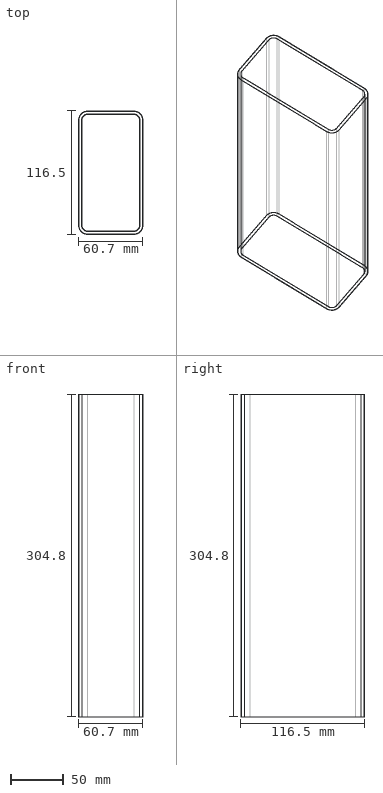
import cadquery as cq

width = 60.7
depth = 116.5
length = 304.8
wall = 3.0
outer_radius = 8.5
inner_radius = outer_radius - wall


def rounded_bar(size_x, size_y, corner_radius):
    """Full-length upright bar with rounded vertical edges."""
    return cq.Workplane("XY").rect(size_x, size_y).extrude(length).edges("|Z").fillet(corner_radius)


outer_bar = rounded_bar(width, depth, outer_radius)
bore = rounded_bar(width - 2 * wall, depth - 2 * wall, inner_radius)

result = outer_bar.cut(bore)